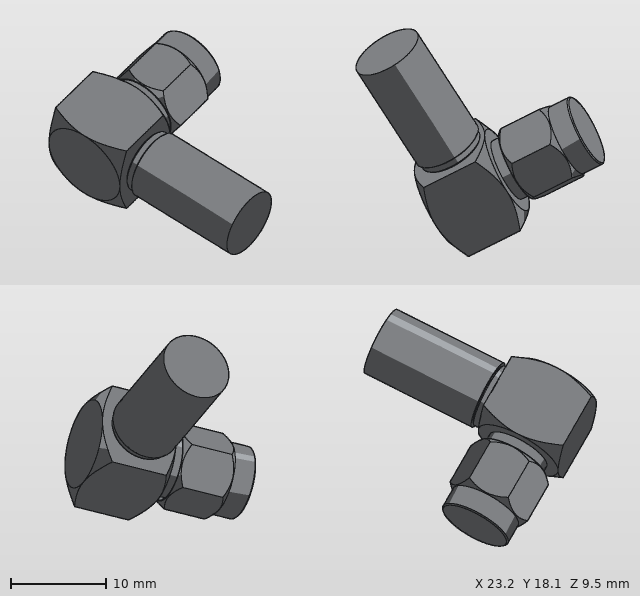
import cadquery as cq
import math


body_width = 9.5
body_length = 8.5
body_cone_angle = 30

neck_diameter = 6.85
neck_length = 1.18
nut_across_flats = 8.0
nut_length = 6.0
nut_bevel_angle = 45
nut_recess_diameter = 7.6
nut_recess_depth = 1.0
cap_diameter = 7.85
cap_length = 2.41
cap_chamfer = 0.15

total_length = 23.2
sleeve_diameter = 7.52
sleeve_length = 12.74
sleeve_axis_y = 4.52
collar_diameter = 7.0
collar_chamfer = 0.16
collar_length = total_length - body_width - sleeve_length


def rod_along_y(diameter, start, length):
    """Solid cylinder on the Y axis."""
    return cq.Workplane("XZ", origin=(0, start, 0)).circle(diameter / 2).extrude(-length)


def rod_along_x(diameter, start, length):
    """Solid cylinder on the sleeve axis."""
    return cq.Workplane("YZ", origin=(start, sleeve_axis_y, 0)).circle(diameter / 2).extrude(length)


def bevel_corners(prism, start, length, end_diameter, corner_diameter, angle):
    """Trim both ends of a prism on the Y axis with cones that meet its end faces at end_diameter."""
    end_radius = end_diameter / 2
    outer_radius = corner_diameter / 2
    depth = (outer_radius - end_radius) * math.tan(math.radians(angle))
    end = start + length
    envelope = (
        cq.Workplane("XY")
        .moveTo(0, start)
        .lineTo(end_radius, start)
        .lineTo(outer_radius, start + depth)
        .lineTo(outer_radius, end - depth)
        .lineTo(end_radius, end)
        .lineTo(0, end)
        .close()
        .revolve(360, (0, 0, 0), (0, 1, 0))
    )
    return prism.intersect(envelope)


def make_body():
    block = cq.Workplane("XZ").rect(body_width, body_width).extrude(-body_length)
    diagonal = body_width * math.sqrt(2)
    return bevel_corners(block, 0, body_length, body_width, diagonal, body_cone_angle)


def make_nut(start):
    """Hexagon with corners on the X axis, flats facing +Z and -Z, and a rear recess for the neck."""
    across_corners = nut_across_flats / math.cos(math.pi / 6)
    hexagon = cq.Workplane("XZ", origin=(0, start, 0)).polygon(6, across_corners).extrude(-nut_length)
    nut = bevel_corners(hexagon, start, nut_length, cap_diameter, across_corners, nut_bevel_angle)
    return nut.cut(rod_along_y(nut_recess_diameter, start, nut_recess_depth))


neck_start = body_length
nut_start = neck_start + neck_length
cap_start = nut_start + nut_length
neck = rod_along_y(neck_diameter, neck_start, neck_length + nut_recess_depth)
cap = rod_along_y(cap_diameter, cap_start, cap_length).faces(">Y").chamfer(cap_chamfer)

collar_start = body_width / 2
sleeve_start = collar_start + collar_length
collar = rod_along_x(collar_diameter, collar_start, collar_length).faces("<X or >X").chamfer(collar_chamfer)
sleeve = rod_along_x(sleeve_diameter, sleeve_start, sleeve_length)

result = make_body()
for section in (neck, make_nut(nut_start), cap, collar, sleeve):
    result = result.union(section)